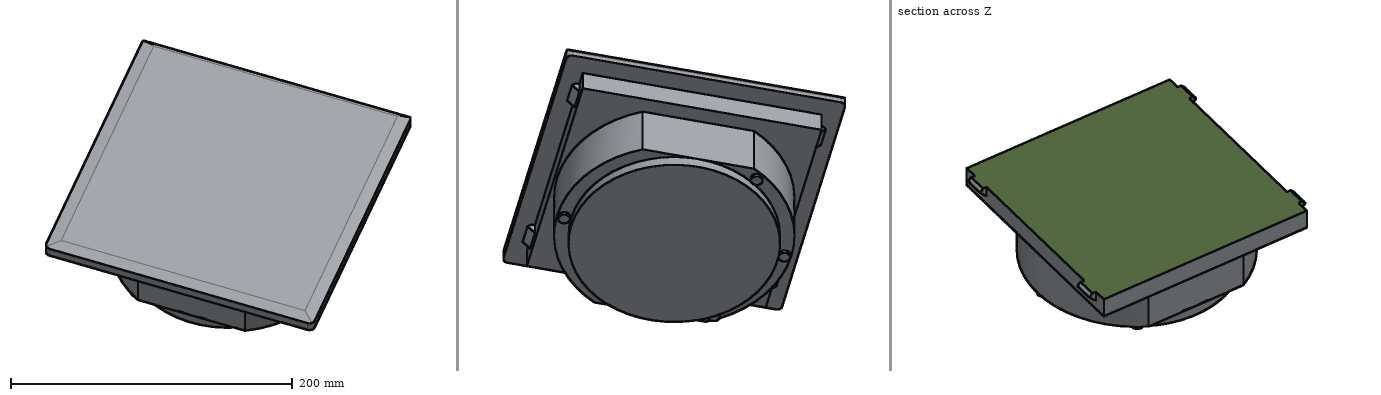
import cadquery as cq
import math

overall_height = 73.5

plate_size = 203.5
plate_thickness = 8.8
plate_corner_radius = 3.9
bevel_width = 9.4
bevel_drop = 1.0
rear_edge_radius = 4.9

neck_size = 174.5
neck_bottom_depth = 25.0

drum_radius = 85.5
spigot_diameter = 150.4
drum_bottom_depth = 65.1

pin_diameter = 8.3
pin_height = 2.6
pin_circle_radius = 80.4
pin_angles = (0, 123.7, 180, 236.3)

clip_width = 15.3
clip_spacing = 138.8
clip_reach = 5.5
clip_tip_depth = 12.0
clip_top_depth = 9.4

half_plate = plate_size / 2
half_neck = neck_size / 2


def cylinder(radius, top_depth, bottom_depth):
    """Upright cylinder on the Z axis between two depths."""
    return cq.Workplane("XY").workplane(offset=-bottom_depth).circle(radius).extrude(bottom_depth - top_depth)


def block(size_x, size_y, top_depth, bottom_depth):
    """Centred rectangular block between two depths."""
    height = bottom_depth - top_depth
    return cq.Workplane("XY").workplane(offset=-bottom_depth).rect(size_x, size_y).extrude(height)


def cover_plate():
    """Plate bevelled on three sides and rounded along the rear (+Y) top edge."""
    outline = block(plate_size, plate_size, 0, plate_thickness).edges("|Z").fillet(plate_corner_radius)
    side_profile = (
        cq.Workplane("XZ")
        .moveTo(-half_plate, -plate_thickness)
        .lineTo(-half_plate, -bevel_drop)
        .lineTo(-half_plate + bevel_width, 0)
        .lineTo(half_plate - bevel_width, 0)
        .lineTo(half_plate, -bevel_drop)
        .lineTo(half_plate, -plate_thickness)
        .close()
        .extrude(half_plate, both=True)
    )
    front_to_rear_profile = (
        cq.Workplane("YZ")
        .moveTo(-half_plate, -plate_thickness)
        .lineTo(-half_plate, -bevel_drop)
        .lineTo(-half_plate + bevel_width, 0)
        .lineTo(half_plate - rear_edge_radius, 0)
        .radiusArc((half_plate, -rear_edge_radius), rear_edge_radius)
        .lineTo(half_plate, -plate_thickness)
        .close()
        .extrude(half_plate, both=True)
    )
    return outline.intersect(side_profile).intersect(front_to_rear_profile)


def drum():
    """Round drum cut by two flats that are tangent to the spigot ring."""
    round_body = cylinder(drum_radius, neck_bottom_depth, drum_bottom_depth)
    flats = block(2 * drum_radius, spigot_diameter, neck_bottom_depth, drum_bottom_depth)
    return round_body.intersect(flats)


def pin(angle):
    """Short pin under the drum at the given angle on the pin circle."""
    x = pin_circle_radius * math.cos(math.radians(angle))
    y = pin_circle_radius * math.sin(math.radians(angle))
    pin_body = cylinder(pin_diameter / 2, drum_bottom_depth, drum_bottom_depth + pin_height)
    return pin_body.translate((x, y, 0))


def clip(side, y):
    """Wedge with 45 degree faces on the -X (side = -1) or +X (side = 1) neck wall."""
    wall = side * half_neck
    tip = side * (half_neck + clip_reach)
    shoulder = tip - side * (clip_tip_depth - clip_top_depth)
    profile = [
        (wall, -clip_top_depth),
        (shoulder, -clip_top_depth),
        (tip, -clip_tip_depth),
        (wall, -clip_tip_depth - clip_reach),
    ]
    wedge = cq.Workplane("XZ").polyline(profile).close().extrude(clip_width / 2, both=True)
    return wedge.translate((0, y, 0))


result = cover_plate()
result = result.union(block(neck_size, neck_size, plate_thickness, neck_bottom_depth))
result = result.union(drum())
result = result.union(cylinder(spigot_diameter / 2, drum_bottom_depth, overall_height))

for pin_angle in pin_angles:
    result = result.union(pin(pin_angle))

for clip_side in (-1, 1):
    for clip_y in (-clip_spacing / 2, clip_spacing / 2):
        result = result.union(clip(clip_side, clip_y))